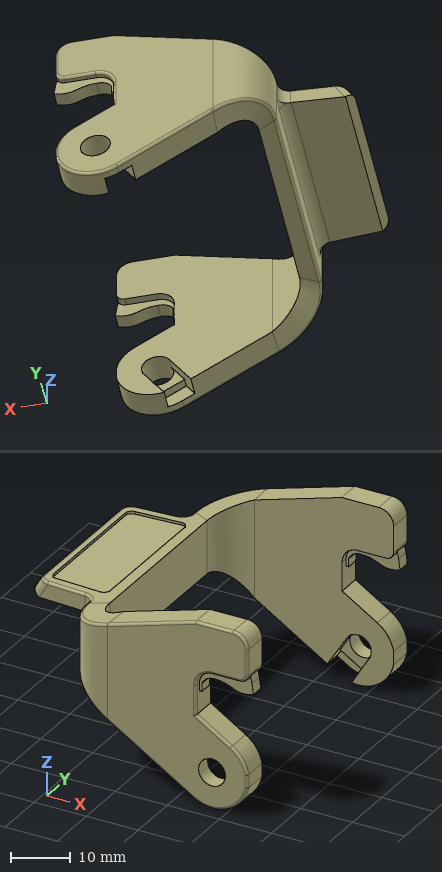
import cadquery as cq
import math


width = 55.0
outer_y = width / 2
arm_thickness = 5.0
inner_y = outer_y - arm_thickness
pivot_radius = 7.0
hole_diameter = 5.1
slope_angle = math.radians(32.2)
arm_top_z = 28.0
arm_right_x = 6.9
ramp_end_x = -3.15
top_corner_radius = 2.85
hook_corner_radius = 1.5
notch_x = -3.0
notch_top_z = 18.7
notch_radius = 3.0

wall_x = -29.15
wall_thickness = 3.4
wall_inner_x = wall_x + wall_thickness
wall_top_z = 20.35
outer_bend_radius = 9.0
inner_bend_radius = 5.9
outer_bend_y = outer_y - outer_bend_radius
inner_bend_y = inner_y - inner_bend_radius
outer_bend_end_x = wall_x + outer_bend_radius
inner_bend_end_x = wall_inner_x + inner_bend_radius

plate_tip_x = -41.7
plate_top_x = -40.3
plate_thickness = 3.4
plate_tip_drop = 2.25
plate_half_width = 15.25
plate_bottom_z = wall_top_z - plate_thickness
plate_flare = 0.7
plate_root_half_width = plate_half_width + plate_flare
plate_radius = 2.0
pocket_front_x = -39.0
pocket_back_x = -27.85
pocket_half_width = 13.4
pocket_flare = 0.6
pocket_radius = 1.2
pocket_depth = 0.5

rib_outer_y = 26.4
rib_inner_y = 23.8
rib_root_x = notch_x - 0.55
rib_face_x = -2.55
rib_bottom_z = 14.3
rib_arc_z = 15.85
rib_arc_middle = (-1.9, 16.65)
rib_crest = (0.05, 17.25)
rib_dip = (4.9, 15.95)
rib_tip = (7.35, 16.3)
rib_tip_slope = 0.3
rib_shoulder = (7.1, 18.4)
rib_neck_x = 6.7

groove_depth = 3.3
ridge_depth = 1.8
ridge_end = 4.3

edge_radius = 0.5
tolerance = 0.005


def upper_slope_z(x):
    return wall_top_z + (arm_top_z - wall_top_z) * (x - wall_x) / (ramp_end_x - wall_x)


def lower_slope_z(x):
    return -pivot_radius / math.cos(slope_angle) - x * math.tan(slope_angle)


wall_bottom_z = lower_slope_z(wall_x)


def make_arm():
    """Arm on the +Y side, from the end of the bend to the pivot lobe and hook."""
    tangent_x = pivot_radius * math.sin(slope_angle)
    tangent_z = pivot_radius * math.cos(slope_angle)
    notch_bottom_z = tangent_z + (tangent_x - notch_x) * math.tan(slope_angle)
    lobe_flat_z = math.sqrt(pivot_radius**2 - arm_right_x**2)
    arm = (
        cq.Workplane("XZ", origin=(0, outer_y, 0))
        .moveTo(outer_bend_end_x, upper_slope_z(outer_bend_end_x))
        .lineTo(ramp_end_x, arm_top_z)
        .lineTo(arm_right_x, arm_top_z)
        .lineTo(arm_right_x, notch_top_z)
        .lineTo(notch_x, notch_top_z)
        .lineTo(notch_x, notch_bottom_z)
        .lineTo(tangent_x, tangent_z)
        .radiusArc((arm_right_x, lobe_flat_z), pivot_radius)
        .lineTo(arm_right_x, -lobe_flat_z)
        .threePointArc((0, -pivot_radius), (-tangent_x, -tangent_z))
        .lineTo(outer_bend_end_x, lower_slope_z(outer_bend_end_x))
        .close()
        .extrude(arm_thickness)
    )
    corners = [
        (arm_right_x, arm_top_z, top_corner_radius),
        (arm_right_x, notch_top_z, hook_corner_radius),
        (notch_x, notch_top_z, notch_radius),
    ]
    for x, z, radius in corners:
        corner = cq.NearestToPointSelector((x, inner_y + arm_thickness / 2, z))
        arm = arm.edges(corner).fillet(radius)
    start_wedge = (
        cq.Workplane("XY", origin=(0, 0, -width))
        .polyline([
            (outer_bend_end_x, outer_y),
            (inner_bend_end_x, inner_y),
            (outer_bend_end_x, inner_y),
        ])
        .close()
        .extrude(2 * width)
    )
    return arm.cut(start_wedge)


def bend_edge(center_x, center_y, radius, start_z, end_z):
    """Quarter turn from the wall to the arm, its height following the change in X."""
    def point(turn):
        angle = turn * math.pi / 2
        advance = 1 - math.cos(angle)
        return (
            center_x - radius * math.cos(angle),
            center_y + radius * math.sin(angle),
            start_z + (end_z - start_z) * advance,
        )
    return cq.Workplane("XY").parametricCurve(point, N=24, makeWire=False).val()


def make_bend():
    """Bend on the +Y side, with ruled top and bottom faces."""
    outer = (outer_bend_end_x, outer_bend_y, outer_bend_radius)
    inner = (inner_bend_end_x, inner_bend_y, inner_bend_radius)
    outer_top = bend_edge(*outer, wall_top_z, upper_slope_z(outer_bend_end_x))
    inner_top = bend_edge(*inner, wall_top_z, upper_slope_z(inner_bend_end_x))
    outer_bottom = bend_edge(*outer, wall_bottom_z, lower_slope_z(outer_bend_end_x))
    inner_bottom = bend_edge(*inner, wall_bottom_z, lower_slope_z(inner_bend_end_x))
    ring = [outer_top, inner_top, inner_bottom, outer_bottom]
    faces = [cq.Face.makeRuledSurface(a, b) for a, b in zip(ring, ring[1:] + ring[:1])]
    for end in (cq.Edge.startPoint, cq.Edge.endPoint):
        corners = [end(edge) for edge in ring]
        faces.append(cq.Face.makeFromWires(cq.Wire.makePolygon(corners, close=True)))
    return cq.Workplane(cq.Solid.makeSolid(cq.Shell.makeShell(faces)).fix())


def make_wall():
    return (
        cq.Workplane("XY", origin=(0, 0, wall_bottom_z))
        .polyline([
            (wall_x, -outer_bend_y),
            (wall_x, outer_bend_y),
            (wall_inner_x, inner_bend_y),
            (wall_inner_x, -inner_bend_y),
        ])
        .close()
        .extrude(wall_top_z - wall_bottom_z)
    )


def make_plate():
    """Thumb plate with a slanted front, rounded front corners and a chamfered tip."""
    front_slope = (plate_top_x - plate_tip_x) / plate_tip_drop
    bottom_x = plate_top_x - front_slope * plate_thickness
    back_x = wall_x + wall_thickness / 2
    outline = (
        cq.Workplane("XZ", origin=(0, width / 2, 0))
        .polyline([
            (bottom_x, plate_bottom_z),
            (plate_top_x, wall_top_z),
            (back_x, wall_top_z),
            (back_x, plate_bottom_z),
        ])
        .close()
        .extrude(width)
    )
    flare_rate = plate_flare / (wall_x - plate_top_x)
    front_half = plate_half_width + flare_rate * (bottom_x - plate_top_x)
    back_half = plate_half_width + flare_rate * (back_x - plate_top_x)
    plan = (
        cq.Workplane("XY", origin=(0, 0, plate_bottom_z))
        .polyline([
            (bottom_x, -front_half),
            (bottom_x, front_half),
            (back_x, back_half),
            (back_x, -back_half),
        ])
        .close()
        .extrude(plate_thickness)
    )
    plate = outline.intersect(plan)
    middle_x = (bottom_x + plate_top_x) / 2
    middle_z = (plate_bottom_z + wall_top_z) / 2
    for side in (-1, 1):
        corner = cq.NearestToPointSelector((middle_x, side * plate_half_width, middle_z))
        plate = plate.edges(corner).fillet(plate_radius)
    tip_cut = (
        cq.Workplane("XZ", origin=(0, width / 2, 0))
        .polyline([
            (plate_tip_x, wall_top_z - plate_tip_drop),
            (plate_top_x, plate_bottom_z),
            (bottom_x, plate_bottom_z),
            (bottom_x, wall_top_z - plate_tip_drop),
        ])
        .close()
        .extrude(width)
    )
    return plate.cut(tip_cut)


def make_corner_relief():
    """Square block less a revolved quarter blend, at the lower plate corner on the +Y side."""
    block = (
        cq.Workplane("XY")
        .box(plate_radius, plate_radius, plate_radius, centered=False)
        .translate((-plate_radius, 0, -plate_radius))
    )
    turn_to_arc = plate_radius * (1 - math.sqrt(0.5))
    blend = (
        cq.Workplane("XY")
        .lineTo(-plate_radius, 0)
        .threePointArc((-turn_to_arc, turn_to_arc), (0, plate_radius))
        .close()
        .revolve(360, (0, 0), (1, 0))
    )
    return block.cut(blend).translate((wall_x, plate_root_half_width, plate_bottom_z))


def add_plate_fillets(body):
    """Blend the sides and the underside of the plate into the wall."""
    root = cq.selectors.BoxSelector(
        (wall_x - tolerance, -plate_root_half_width - tolerance, plate_bottom_z - tolerance),
        (wall_x + tolerance, plate_root_half_width + tolerance, wall_top_z - tolerance),
    )
    return body.edges(root).fillet(plate_radius)


def is_outer_rim(edge):
    """True for an edge that runs along the rim of the bracket's outer skin."""
    points = [edge.positionAt(t) for t in (0, 0.5, 1)]
    start, middle, end = points
    upright = math.hypot(start.x - end.x, start.y - end.y) < tolerance
    if all(abs(abs(p.y) - outer_y) < tolerance for p in points):
        return abs(middle.x - outer_bend_end_x) > tolerance
    at_rim_height = (
        abs(middle.z - wall_bottom_z) < tolerance or abs(middle.z - wall_top_z) < tolerance
    )
    on_wall = at_rim_height and all(abs(p.x - wall_x) < tolerance for p in points)
    on_plate = all(p.x < wall_x + tolerance and p.z > wall_top_z - tolerance for p in points)
    on_bend = all(
        abs(math.hypot(p.x - outer_bend_end_x, abs(p.y) - outer_bend_y) - outer_bend_radius) < tolerance
        for p in points
    )
    return (on_wall or on_plate or on_bend) and not upright


def round_outer_rim(body):
    rim = [edge for edge in body.edges().vals() if is_outer_rim(edge)]
    return body.newObject(rim).fillet(edge_radius)


def make_pocket():
    """Shallow label pocket in the top of the thumb plate."""
    back_half = pocket_half_width + pocket_flare
    return (
        cq.Workplane("XY", origin=(0, 0, wall_top_z - pocket_depth))
        .polyline([
            (pocket_front_x, -pocket_half_width),
            (pocket_front_x, pocket_half_width),
            (pocket_back_x, back_half),
            (pocket_back_x, -back_half),
        ])
        .close()
        .extrude(2 * pocket_depth)
        .edges("|Z")
        .fillet(pocket_radius)
    )


def make_snap_rib():
    """Rib on the +Y arm that lines the notch top and bulges down behind the hook tip."""
    root_z = notch_top_z + hook_corner_radius
    return (
        cq.Workplane("XZ", origin=(0, rib_outer_y, 0))
        .moveTo(rib_root_x, rib_bottom_z)
        .lineTo(rib_face_x, rib_bottom_z)
        .lineTo(rib_face_x, rib_arc_z)
        .threePointArc(rib_arc_middle, rib_crest)
        .spline([rib_dip, rib_tip], tangents=[(1, 0), (1, rib_tip_slope)], includeCurrent=True)
        .lineTo(*rib_shoulder)
        .lineTo(rib_neck_x, root_z)
        .lineTo(rib_root_x, root_z)
        .close()
        .extrude(rib_outer_y - rib_inner_y)
    )


def make_pin_passage():
    """Pivot hole of the +Y arm with the groove that lets the pin in through the lower edge."""
    hole = cq.Workplane("XZ", origin=(0, width, 0)).circle(hole_diameter / 2).extrude(width)
    reach = 2 * pivot_radius

    def groove(start, depth):
        """Straight groove running down from the pivot, later turned square to the lower edge."""
        return (
            cq.Workplane("XY", origin=(0, inner_y, -reach))
            .box(hole_diameter, depth, reach - start, centered=(True, False, False))
        )

    entry = groove(0, ridge_depth).union(groove(ridge_end, groove_depth))
    entry = entry.rotate((0, 0, 0), (0, 1, 0), math.degrees(slope_angle))
    return hole.union(entry)


half = make_arm().union(make_bend())
body = half.union(half.mirror("XZ")).union(make_wall()).union(make_plate())
body = round_outer_rim(add_plate_fillets(body))
body = body.cut(make_pocket())

rib = make_snap_rib()
body = body.union(rib).union(rib.mirror("XZ"))
for cutter in (make_corner_relief(), make_pin_passage()):
    body = body.cut(cutter).cut(cutter.mirror("XZ"))
result = body